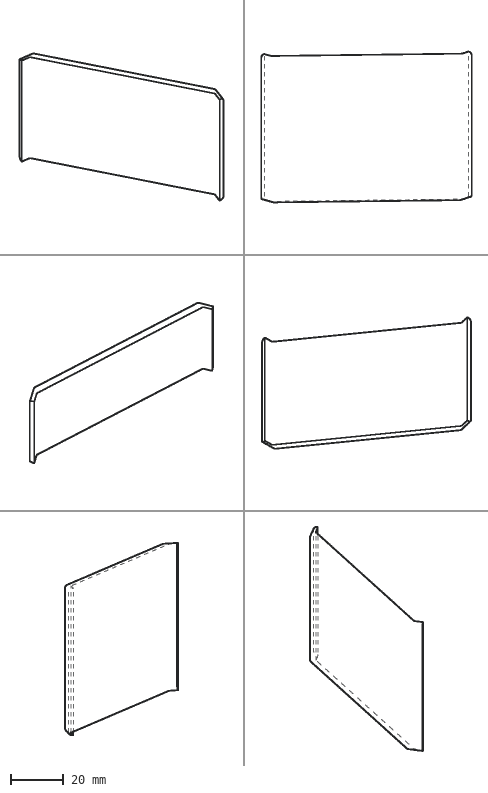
import cadquery as cq
import math

height = 58.0
footprint = 56.85
flange_length = 6.05
flange_thickness = 1.8
web_thickness = 3.0
outer_radius = 1.45
inner_radius = 0.8

half = footprint / 2
web_middle = -flange_length / 2

inner_setback = web_thickness * math.sqrt(2) - flange_thickness
inner_flange_length = flange_length - inner_setback

outer_bends = [(-half, -half + flange_length), (half - flange_length, half)]
inner_bends = [
    (-half + flange_thickness, -half + inner_flange_length),
    (half - inner_flange_length, half - flange_thickness),
]


def bent_panel():
    """Diagonal panel with one flange along Y and one along X, centred on the origin."""
    outline = [
        (-half, -half),
        *outer_bends,
        (half, half),
        (half, half - flange_thickness),
        *reversed(inner_bends),
        (-half + flange_thickness, -half),
    ]
    return cq.Workplane("XY").polyline(outline).close().extrude(height / 2, both=True)


def round_edges(panel, edge_middles, radius):
    """Round together the edges whose midpoints are given."""
    chosen = []
    for middle in edge_middles:
        chosen += panel.edges(cq.selectors.NearestToPointSelector(middle)).vals()
    return panel.newObject(chosen).fillet(radius)


def round_inner_bends(panel):
    return round_edges(panel, [(x, y, 0) for x, y in inner_bends], inner_radius)


def round_outer_edges(panel):
    """Round both outer bends and the outer rims at top and bottom in one blend."""
    rim_middles = [
        (-half, -half + flange_length / 2),
        (web_middle, -web_middle),
        (half - flange_length / 2, half),
    ]
    edge_middles = [(x, y, 0) for x, y in outer_bends]
    edge_middles += [(x, y, z) for x, y in rim_middles for z in (-height / 2, height / 2)]
    return round_edges(panel, edge_middles, outer_radius)


result = round_outer_edges(round_inner_bends(bent_panel()))